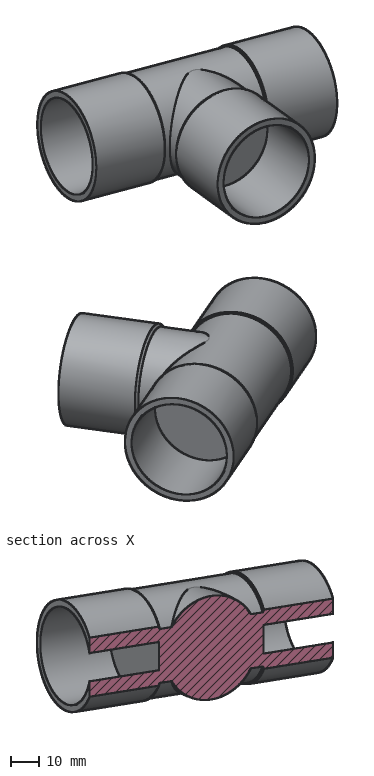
import cadquery as cq

socket_diameter = 40.0
socket_length = 28.1
bore_diameter = 35.0
bore_depth = socket_length

run_length = 99.0
run_body_diameter = 39.0

branch_neck_diameter = 38.0
overall_width = 73.5
branch_reach = overall_width - socket_diameter / 2


def limb_solid(reach, neck_diameter):
    """Limb along +X: neck, 45 degree shoulder and socket, starting on the part centre."""
    neck_radius = neck_diameter / 2
    socket_radius = socket_diameter / 2
    shoulder = socket_radius - neck_radius
    socket_start = reach - socket_length
    return (
        cq.Workplane("XY")
        .moveTo(0, 0)
        .lineTo(0, neck_radius)
        .lineTo(socket_start - shoulder, neck_radius)
        .lineTo(socket_start, socket_radius)
        .lineTo(reach, socket_radius)
        .lineTo(reach, 0)
        .close()
        .revolve(360, (0, 0, 0), (1, 0, 0))
    )


def limb_bore(reach):
    """Blind bore cut inward from the open end of a limb along +X."""
    return cq.Workplane("YZ").workplane(offset=reach - bore_depth).circle(bore_diameter / 2).extrude(bore_depth)


def turned(shape, angle):
    """Swing a limb around the vertical axis through the part centre."""
    return shape.rotate((0, 0, 0), (0, 0, 1), angle)


result = limb_solid(branch_reach, branch_neck_diameter)
run_reach = run_length / 2
run_angles = (90, -90)
for angle in run_angles:
    result = result.union(turned(limb_solid(run_reach, run_body_diameter), angle))

result = result.cut(limb_bore(branch_reach))
for angle in run_angles:
    result = result.cut(turned(limb_bore(run_reach), angle))
result = result.clean()